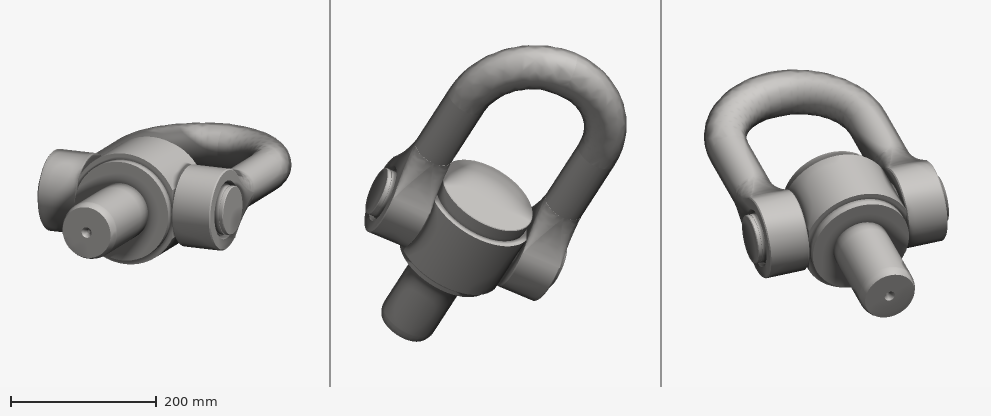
import cadquery as cq
import math


housing_dia = 157.5
housing_front = -51.0
housing_back = 42.5
flat_offset = 70.5

collar_dia = 140.0
collar_reach = 64.0
nut_gap = 1.0
nut_chamfer = 1.0
shank_dia = 80.0
shank_tip = -183.5
tip_face_dia = 72.0
tip_rounding = 13.0
center_hole_dia = 6.0
center_hole_depth = 15.5
center_cone_dia = 15.0
center_cone_angle = 60

rod_dia = 57.5
rod_inner = 72.0
rod_center = rod_inner + rod_dia / 2
crown_y = 329.0
crown_start = 194.0
crown_dia = crown_y - crown_start - rod_inner
flare_start = 96.5
flare_sections = 9
flat_growth = 1.2
least_flat = 0.02
ear_dia = 113.5
ear_chamfer = 1.5
ear_bore_dia = 73.5
ear_bore_mouth_dia = 81.5

pin_dia = 72.0
pin_root = 46.0
pin_tip = 139.0
pin_end_dia = 68.0
pin_chamfer = 1.0
groove_dia = 66.5
groove_width = 1.5
groove_outer = 134.5

rod_outer = rod_center + rod_dia / 2
mouth_depth = (ear_bore_mouth_dia - ear_bore_dia) / 2


def cylinder_along_y(dia, y_start, y_end):
    return cq.Workplane("XZ", origin=(0, y_start, 0)).circle(dia / 2).extrude(y_start - y_end)


def cylinder_along_x(dia, x_start, x_end):
    return cq.Workplane("YZ", origin=(x_start, 0, 0)).circle(dia / 2).extrude(x_end - x_start)


def mirrored_in_x(body):
    return body.mirror("YZ")



def bow_section(dia, center, direction):
    """Circle across the bow, starting on its underside."""
    plane = cq.Plane(origin=center, xDir=(0, 0, -1), normal=direction)
    return cq.Workplane(plane).circle(dia / 2).wire().val()


def crown_half():
    """Quarter of the bow, swelling from the rod diameter to the crown diameter."""
    crown_center = crown_start + rod_inner + crown_dia / 2
    rise = crown_center - crown_start
    base = cq.Workplane("XY", origin=(0, crown_start, 0))
    path = base.ellipseArc(rod_center, rise, 0, 90, startAtCurrent=False)
    sections = [
        bow_section(rod_dia, (rod_center, crown_start, 0), (0, 1, 0)),
        bow_section(crown_dia, (0, crown_center, 0), (-1, 0, 0)),
    ]
    bow = cq.Solid.sweep_multi(sections, path.val(), True, False)
    return cq.Workplane(obj=bow)


def flare_section(y, half_height, corner):
    """Rounded rectangle across the leg: the rod wide, with the given half height and corner radius."""
    return (
        cq.Sketch()
        .rect(rod_dia, 2 * half_height)
        .vertices()
        .fillet(corner)
        .moved(cq.Location(cq.Plane(origin=(rod_center, y, 0), xDir=(1, 0, 0), normal=(0, -1, 0))))
    )


def leg_flare():
    """Round leg turning into the flat ear; its outline is an arc tangent to both leg and ear."""
    rod_radius = rod_dia / 2
    ear_radius = ear_dia / 2
    arc_radius = (flare_start**2 + rod_radius**2 - ear_radius**2) / (2 * (ear_radius - rod_radius))
    arc_center_z = rod_radius + arc_radius
    flare_end = flare_start * ear_radius / (ear_radius + arc_radius)
    sections = []
    for index in range(flare_sections):
        progress = index / (flare_sections - 1)
        along = (flare_start - flare_end) * progress
        flatness = least_flat + (1 - 2 * least_flat) * progress**flat_growth
        half_height = arc_center_z - math.sqrt(arc_radius**2 - along**2)
        sections.append(flare_section(flare_start - along, half_height, rod_radius * (1 - flatness)))
    return cq.Workplane().placeSketch(*sections).loft()


def ear():
    """Disc around the pin."""
    return cylinder_along_x(ear_dia, rod_inner, rod_outer).edges("%CIRCLE").chamfer(ear_chamfer)


def ear_bore():
    """Pin bore with a conical mouth on the outer face."""
    bore = cylinder_along_x(ear_bore_dia, rod_inner, rod_outer)
    mouth = cq.Solid.makeCone(
        ear_bore_mouth_dia / 2,
        ear_bore_dia / 2,
        mouth_depth,
        pnt=cq.Vector(rod_outer, 0, 0),
        dir=cq.Vector(-1, 0, 0),
    )
    return bore.union(cq.Workplane(obj=mouth))


def make_shackle():
    leg = cylinder_along_y(rod_dia, flare_start, crown_start).translate((rod_center, 0, 0))
    half = crown_half().union(leg).union(leg_flare()).union(ear()).cut(ear_bore())
    return half.union(mirrored_in_x(half), clean=False)



def make_housing():
    body = cylinder_along_y(housing_dia, housing_front, housing_back)
    between_flats = cq.Workplane().box(2 * flat_offset, 2 * collar_reach, housing_dia)
    bolt_hole = cylinder_along_y(shank_dia, housing_front, housing_back)
    pin_hole = cylinder_along_x(pin_dia, pin_root, flat_offset)
    return body.intersect(between_flats).cut(bolt_hole).cut(pin_hole).cut(mirrored_in_x(pin_hole))


def make_bolt():
    """Flange, a shank running back into the nut, and a rounded tip with a center hole."""
    shank_radius = shank_dia / 2
    inset = (shank_dia - tip_face_dia) / 2
    arc_radius = (inset**2 + tip_rounding**2) / (2 * inset)
    outline = (
        cq.Workplane("XY")
        .moveTo(0, shank_tip)
        .lineTo(tip_face_dia / 2, shank_tip)
        .radiusArc((shank_radius, shank_tip + tip_rounding), -arc_radius)
        .lineTo(shank_radius, -collar_reach)
        .lineTo(collar_dia / 2, -collar_reach)
        .lineTo(collar_dia / 2, housing_front)
        .lineTo(shank_radius, housing_front)
        .lineTo(shank_radius, collar_reach)
        .lineTo(0, collar_reach)
        .close()
    )
    bolt = outline.revolve(360, (0, 0, 0), (0, 1, 0))
    return bolt.faces("<Y").workplane(centerOption="CenterOfBoundBox").cskHole(
        center_hole_dia, center_cone_dia, center_cone_angle, center_hole_depth
    )


def make_nut():
    nut = cylinder_along_y(collar_dia, housing_back + nut_gap, collar_reach)
    nut = nut.faces(">Y").chamfer(nut_chamfer)
    return nut.cut(cylinder_along_y(shank_dia, housing_back, collar_reach))



def make_pin():
    """Pin with a reduced, chamfered outer end that carries a shallow ring groove."""
    groove_inner = groove_outer - groove_width
    body = cylinder_along_x(pin_dia, pin_root, rod_outer - mouth_depth)
    end = cylinder_along_x(pin_end_dia, pin_root, pin_tip).faces(">X").chamfer(pin_chamfer)
    groove = cylinder_along_x(pin_end_dia, groove_inner, groove_outer)
    groove = groove.cut(cylinder_along_x(groove_dia, groove_inner, groove_outer))
    return body.union(end).cut(groove)


shackle = make_shackle()
housing = make_housing()
bolt = make_bolt()
nut = make_nut()
pins = []
for turn in (0, 180):
    pins.append(make_pin().rotate((0, 0, 0), (0, 0, 1), turn))

result = cq.Compound.makeCompound(
    [shackle.val(), housing.val(), bolt.val(), nut.val(), *[pin.val() for pin in pins]]
)